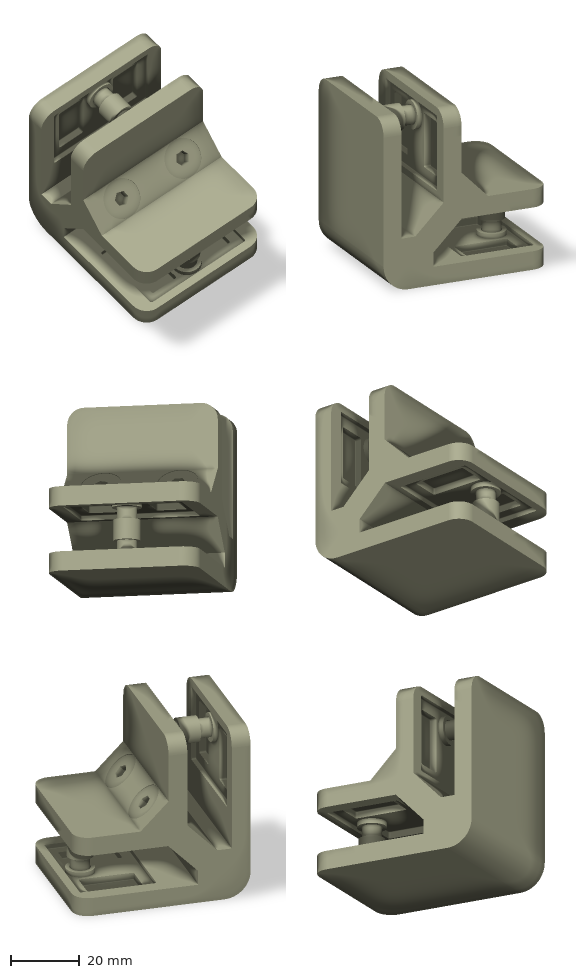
import cadquery as cq
import math

SIZE = 53.0
WIDTH = 45.0
PLATE = 5.7
GAP = 13.5
TIP_RADIUS = 5.0
HEEL_RADIUS = 8.0

INNER_FACE = PLATE + GAP
INNER_BACK = INNER_FACE + PLATE
SLOT_MIDDLE = PLATE + GAP / 2

SEAT_NEAR = 10.1
SEAT_FAR = 15.95
WEB_OFFSET = SEAT_FAR - SEAT_NEAR
BEVEL_LEG = 8.55

RECESS_START = 27.15
RECESS_END = 50.45
RECESS_HALF_WIDTH = 17.75
RECESS_DEPTH = 1.5
WINDOW_START = 30.4
WINDOW_END = 47.2
WINDOW_INNER = 5.6
WINDOW_OUTER = 14.65
WINDOW_DEPTH = 2.1
POCKET_CORNER = 0.55
POCKET_FLOOR_RADIUS = 0.2

PIN_HEIGHT = 45.0
PIN_RADIUS = 2.9
PIN_HOLE_RADIUS = 3.15
PIN_DEPTH = RECESS_DEPTH + WINDOW_DEPTH
BOSS_RADIUS = 4.4
SLEEVE_RADIUS = 4.0
SLEEVE_LENGTH = 6.15

SCREW_SPACING = 22.9
HEAD_RADIUS = 6.0
HEAD_SINK = 0.2
HEAD_LAND = 0.25
SHANK_RADIUS = 3.0
SCREW_LENGTH = 31.8
HEX_FLATS = 4.0
HEX_DEPTH = 3.0
SOCKET_ANGLES = {1: 30, -1: 14}

SWAP_ARMS = (1, 0, -1)


def swap_arms(shape):
    """Mirror a shape of the upright arm onto the level arm."""
    return shape.mirror(SWAP_ARMS)


def with_mirror_arm(shape):
    return shape.union(swap_arms(shape))


def across_slot(shape):
    """Mirror a shape from the inner plate to the outer plate of the upright arm."""
    return shape.mirror("YZ", (SLOT_MIDDLE, 0, 0))


def extrude_profile(points):
    """Extrude an XZ outline over the full width, centred on Y."""
    return cq.Workplane("XZ").polyline(points).close().extrude(WIDTH / 2, both=True)


def pocket(start, end, y_low, y_high, face, depth):
    """Pocket cut towards +X, with rounded corners and a rounded floor edge."""
    return (
        cq.Workplane("XY")
        .box(depth, y_high - y_low, end - start, centered=False)
        .translate((face, y_low, start))
        .edges("|X").fillet(POCKET_CORNER)
        .faces(">X").edges().fillet(POCKET_FLOOR_RADIUS)
    )


def pin_cylinder(radius, start, length):
    return (
        cq.Workplane("YZ", origin=(start, 0, PIN_HEIGHT))
        .circle(radius)
        .extrude(length)
    )


def slot_side_cutter():
    """Recess around the pin boss, the two windows and the pin hole."""
    cutter = pocket(
        RECESS_START, RECESS_END, -RECESS_HALF_WIDTH, RECESS_HALF_WIDTH, INNER_FACE, RECESS_DEPTH
    )
    cutter = cutter.cut(pin_cylinder(BOSS_RADIUS, INNER_FACE, RECESS_DEPTH))
    window_face = INNER_FACE + RECESS_DEPTH
    window = pocket(WINDOW_START, WINDOW_END, WINDOW_INNER, WINDOW_OUTER, window_face, WINDOW_DEPTH)
    cutter = cutter.union(window).union(window.mirror("XZ"))
    return cutter.union(pin_cylinder(PIN_HOLE_RADIUS, INNER_FACE, PIN_DEPTH))


def place_on_bevel(shape, side):
    """Move a shape from the Z axis to a screw position, with its origin on the bevel."""
    bevel_middle = INNER_BACK + BEVEL_LEG / 2
    return (
        shape.rotate((0, 0, 0), (0, 1, 0), 45)
        .translate((bevel_middle, side * SCREW_SPACING / 2, bevel_middle))
    )


def screw_form(top):
    """Countersunk head and shank along Z; the head cylinder starts at the given height."""
    cone_end = -HEAD_SINK - HEAD_LAND - (HEAD_RADIUS - SHANK_RADIUS)
    return (
        cq.Workplane("XZ")
        .moveTo(0, top)
        .lineTo(HEAD_RADIUS, top)
        .lineTo(HEAD_RADIUS, -HEAD_SINK - HEAD_LAND)
        .lineTo(SHANK_RADIUS, cone_end)
        .lineTo(SHANK_RADIUS, -SCREW_LENGTH)
        .lineTo(0, -SCREW_LENGTH)
        .close()
        .revolve(360, (0, 0, 0), (0, 1, 0))
    )


def make_screw(side, socket_angle):
    socket = (
        cq.Workplane("XY", origin=(0, 0, -HEAD_SINK))
        .polygon(6, HEX_FLATS / math.cos(math.pi / 6))
        .extrude(-HEX_DEPTH)
        .rotate((0, 0, 0), (0, 0, 1), socket_angle)
    )
    return place_on_bevel(screw_form(-HEAD_SINK).cut(socket), side)


def cut_screw_holes(body):
    for side in SOCKET_ANGLES:
        body = body.cut(place_on_bevel(screw_form(0), side))
    return body


def make_outer_angle():
    """L-shaped half with the outer plates and the seat for the web."""
    body = extrude_profile([
        (0, 0),
        (SIZE, 0),
        (SIZE, PLATE),
        (SEAT_FAR, PLATE),
        (SEAT_FAR, SEAT_NEAR),
        (SEAT_NEAR, SEAT_FAR),
        (PLATE, SEAT_FAR),
        (PLATE, SIZE),
        (0, SIZE),
    ])
    body = body.edges("|Y and <X and <Z").fillet(HEEL_RADIUS)
    body = body.edges("|X and >Z").fillet(TIP_RADIUS)
    body = body.edges("|Z and >X").fillet(TIP_RADIUS)
    body = body.cut(with_mirror_arm(across_slot(slot_side_cutter())))
    return cut_screw_holes(body)


def make_inner_angle():
    """Y-shaped half with the inner plates, the bevel and the diagonal web."""
    bevel_end = INNER_BACK + BEVEL_LEG
    web_start = INNER_FACE + WEB_OFFSET
    body = extrude_profile([
        (SEAT_NEAR, SEAT_FAR),
        (SEAT_FAR, SEAT_NEAR),
        (web_start, INNER_FACE),
        (SIZE, INNER_FACE),
        (SIZE, INNER_BACK),
        (bevel_end, INNER_BACK),
        (INNER_BACK, bevel_end),
        (INNER_BACK, SIZE),
        (INNER_FACE, SIZE),
        (INNER_FACE, web_start),
    ])
    body = body.edges("|X and >Z").fillet(TIP_RADIUS)
    body = body.edges("|Z and >X").fillet(TIP_RADIUS)
    body = body.cut(with_mirror_arm(slot_side_cutter()))
    return cut_screw_holes(body)


def make_pin():
    """Pin across the slot, seated on the floors of both pin holes."""
    return pin_cylinder(PIN_RADIUS, PLATE - PIN_DEPTH, GAP + 2 * PIN_DEPTH)


def make_sleeve():
    sleeve_start = SLOT_MIDDLE - SLEEVE_LENGTH / 2
    sleeve = pin_cylinder(SLEEVE_RADIUS, sleeve_start, SLEEVE_LENGTH)
    return sleeve.cut(pin_cylinder(PIN_RADIUS, sleeve_start, SLEEVE_LENGTH))


outer_angle = make_outer_angle()
inner_angle = make_inner_angle()
screws = [make_screw(side, angle) for side, angle in SOCKET_ANGLES.items()]

upright_pin = make_pin()
pins = [upright_pin, swap_arms(upright_pin)]
upright_sleeve = make_sleeve()
sleeves = [upright_sleeve, swap_arms(upright_sleeve)]

bodies = [outer_angle, inner_angle, *screws, *pins, *sleeves]
result = cq.Compound.makeCompound([solid for body in bodies for solid in body.solids().vals()])